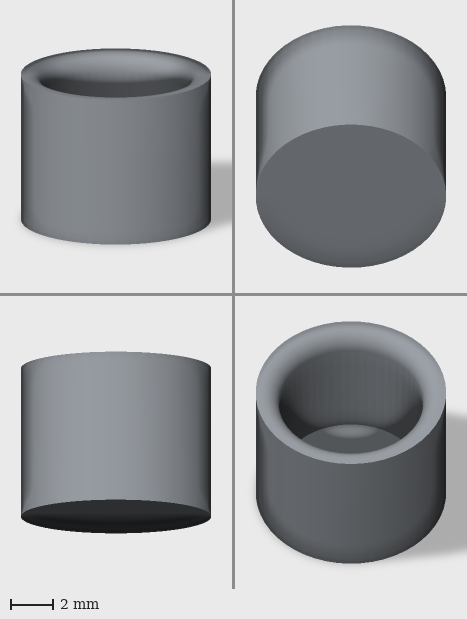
import cadquery as cq

outer_diameter = 9.0
height = 7.1
bore_diameter = 6.8
mouth_radius = 0.8
floor_thickness = 1.0


def make_body():
    """Solid cylinder standing on the XY plane."""
    return cq.Workplane("XY").circle(outer_diameter / 2).extrude(height)


def make_bore():
    """Blind bore, from the floor up to the rim."""
    bore_depth = height - floor_thickness
    return (
        cq.Workplane("XY")
        .workplane(offset=floor_thickness)
        .circle(bore_diameter / 2)
        .extrude(bore_depth)
    )


cup = make_body().cut(make_bore())

result = cup.faces(">Z").edges(cq.selectors.RadiusNthSelector(0)).fillet(mouth_radius)